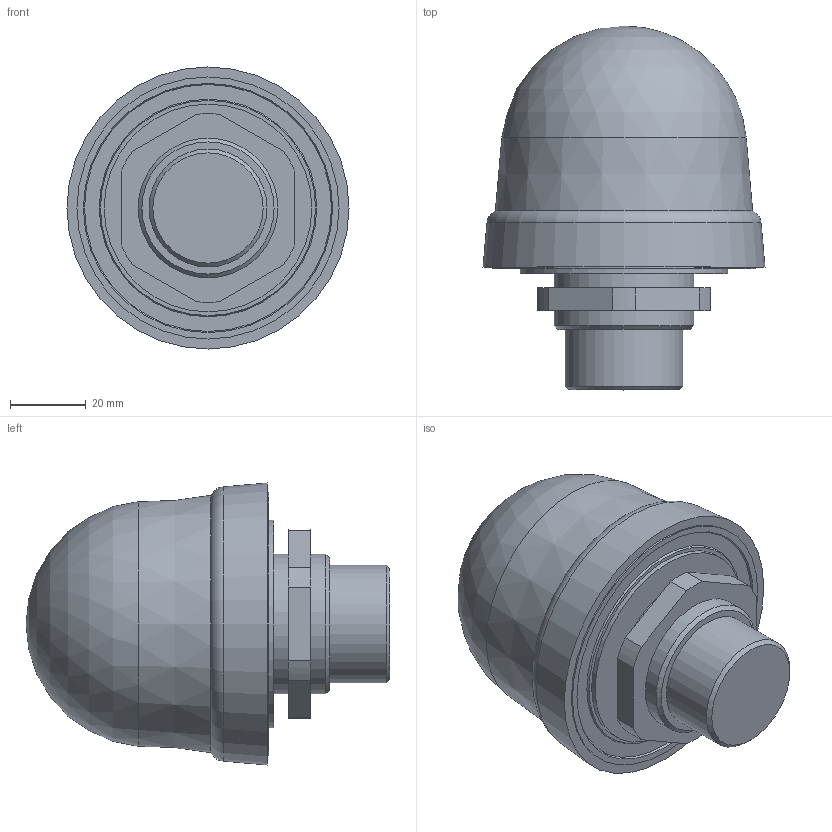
import cadquery as cq
import math

overall_length = 96.38

stub_radius = 15.6
stub_length = 16.0
stub_chamfer = 1.0
stem_radius = 18.5
stem_chamfer = 1.0

nut_across_flats = 46.0
nut_corner_radius = 25.0
nut_start = 21.0
nut_thickness = 6.0

pad_radius = 27.5
pad_face = 30.8
rim_face = 32.1
rim_outer_radius = 34.7
groove_outer_radius = 33.0
groove_inner_radius = 28.8
groove_depth = 0.5
groove_wall_slope = 0.3

draft = math.radians(5)
skirt_face = 32.5
skirt_face_radius = 37.35
skirt_top = 44.2
shoulder_top = 47.4
dome_radius = 32.5

skirt_top_radius = skirt_face_radius - (skirt_top - skirt_face) * math.tan(draft)
dome_centre = overall_length - dome_radius
dome_start = dome_centre + dome_radius * math.sin(draft)
dome_start_radius = dome_radius * math.cos(draft)
shoulder_radius = dome_start_radius + (dome_start - shoulder_top) * math.tan(draft)
dome_mid_angle = (draft + math.pi / 2) / 2
dome_mid = (
    dome_radius * math.cos(dome_mid_angle),
    dome_centre + dome_radius * math.sin(dome_mid_angle),
)


def make_body():
    """Revolve the drafted skirt, shoulder and dome, closed at the mounting face."""
    profile = (
        cq.Workplane("XY")
        .moveTo(0, rim_face)
        .lineTo(rim_outer_radius, rim_face)
        .lineTo(rim_outer_radius, skirt_face)
        .lineTo(skirt_face_radius, skirt_face)
        .lineTo(skirt_top_radius, skirt_top)
        .tangentArcPoint((shoulder_radius, shoulder_top), relative=False)
        .lineTo(dome_start_radius, dome_start)
        .threePointArc(dome_mid, (0, overall_length))
        .close()
    )
    return profile.revolve(360, (0, 0), (0, 1))


def make_groove():
    """Ring with sloped walls to be cut from the mounting face."""
    groove_floor = rim_face + groove_depth
    profile = (
        cq.Workplane("XY")
        .moveTo(groove_inner_radius - groove_wall_slope, rim_face)
        .lineTo(groove_outer_radius, rim_face)
        .lineTo(groove_outer_radius - groove_wall_slope, groove_floor)
        .lineTo(groove_inner_radius, groove_floor)
        .close()
    )
    return profile.revolve(360, (0, 0), (0, 1))


def cylinder(radius, start, end):
    """Cylinder on the Y axis between two Y positions."""
    plane = cq.Workplane("XZ", origin=(0, start, 0))
    return plane.circle(radius).extrude(start - end)


def make_nut():
    """Hexagon with flats facing -X and +X, trimmed by its corner circle."""
    across_corners = nut_across_flats / math.cos(math.pi / 6)
    nut_end = nut_start + nut_thickness
    hexagon = (
        cq.Workplane("XZ", origin=(0, nut_start, 0))
        .transformed(rotate=(0, 0, 30))
        .polygon(6, across_corners)
        .extrude(-nut_thickness)
    )
    return hexagon.intersect(cylinder(nut_corner_radius, nut_start, nut_end))


pad = cylinder(pad_radius, pad_face, rim_face)
stem = cylinder(stem_radius, stub_length, pad_face).faces("<Y").chamfer(stem_chamfer)
stub = cylinder(stub_radius, 0, stub_length).faces("<Y").chamfer(stub_chamfer)

result = make_body().cut(make_groove())
for piece in (pad, stem, stub, make_nut()):
    result = result.union(piece)